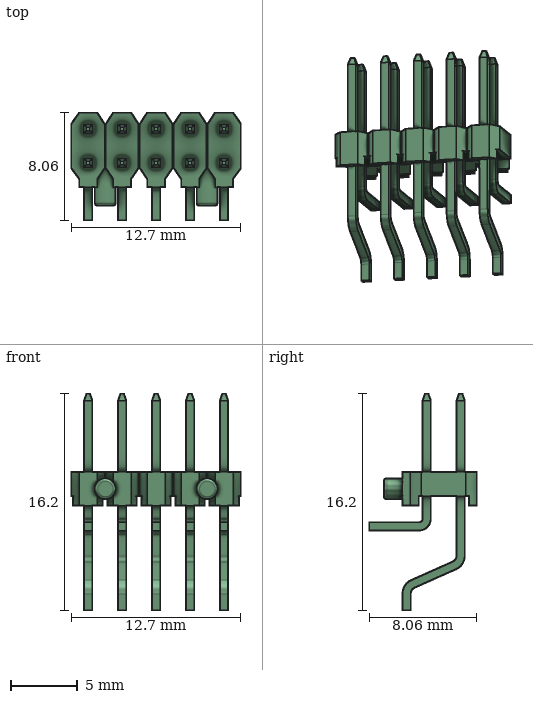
import cadquery as cq
import math


overall_length = 12.7
columns = 5
pitch = overall_length / columns

body_depth = 5.58
body_height = 2.51
end_face_width = 1.35
front_neck_length = 0.6
front_bevel_length = 0.81
back_bevel_length = 0.85
channel_height = 0.71
channel_front = 1.23
channel_back = 4.96
joint_width = 0.1
groove_depth = 0.06

peg_diameter = 1.57
peg_projection = 1.4
peg_edge_radius = 0.21
peg_places = (-1.5 * pitch, 1.5 * pitch)

lead_width = 0.63
tip_width = 0.26
tip_length = 0.53
lead_top = 8.38
front_row = 1.82
back_row = front_row + pitch

front_tail_end = -2.48
front_tail_height = -1.55
front_bend_radius = 0.58

back_foot = lead_width / 2
back_foot_end = -7.83
back_upper_bend = -4.26
back_lower_bend = -6.06
back_bend_radius = 0.81

column_places = [(column - (columns - 1) / 2) * pitch for column in range(columns)]
front_bevel_end = front_neck_length + front_bevel_length
back_bevel_start = body_depth - back_bevel_length


def body_segment(column):
    """Eight-sided block with a front neck; it is full width only on the ends of the part."""
    joint_half = pitch / 2 - joint_width / 2
    left = pitch / 2 if column == 0 else joint_half
    right = pitch / 2 if column == columns - 1 else joint_half
    narrow = end_face_width / 2
    outline = [
        (narrow, 0),
        (narrow, front_neck_length),
        (right, front_bevel_end),
        (right, back_bevel_start),
        (narrow, body_depth),
        (-narrow, body_depth),
        (-left, back_bevel_start),
        (-left, front_bevel_end),
        (-narrow, front_neck_length),
        (-narrow, 0),
    ]
    segment = cq.Workplane("XY").polyline(outline).close().extrude(body_height)
    return segment.translate((column_places[column], 0, 0))


def joint_web(x):
    """Thin web joining two segments, with a shallow V-groove along its top."""
    half = joint_width / 2
    profile = [
        (-half, 0),
        (half, 0),
        (half, body_height),
        (0, body_height - groove_depth),
        (-half, body_height),
    ]
    length = back_bevel_start - front_bevel_end
    web = cq.Workplane("XZ").polyline(profile).close().extrude(-length)
    return web.translate((x, front_bevel_end, 0))


def locating_peg(x):
    """Round peg along Y with a rounded front edge, rooted where the bevels meet."""
    peg = cq.Workplane("XZ").circle(peg_diameter / 2).extrude(peg_projection + front_bevel_end)
    peg = peg.faces("<Y").edges().fillet(peg_edge_radius)
    return peg.translate((x, front_bevel_end, body_height / 2))


def bent_lead(corners, bend_radius):
    """Square lead swept along (y, z) corners with rounded bends, tapered at its top end."""
    points = [cq.Vector(0, y, z) for y, z in corners]
    path = cq.Workplane("YZ").moveTo(points[0].y, points[0].z)
    for before, corner, after in zip(points, points[1:], points[2:]):
        arrive = (corner - before).normalized()
        leave = (after - corner).normalized()
        setback = bend_radius * math.tan(arrive.getAngle(leave) / 2)
        arc_start = corner - arrive * setback
        arc_end = corner + leave * setback
        path = path.lineTo(arc_start.y, arc_start.z)
        path = path.tangentArcPoint((arc_end.y, arc_end.z), relative=False)
    path = path.lineTo(points[-1].y, points[-1].z)

    shank_end = cq.Workplane("XY", origin=points[0])
    shank = shank_end.rect(lead_width, lead_width).sweep(path)
    tip_taper = math.degrees(math.atan((lead_width - tip_width) / 2 / tip_length))
    tip = shank_end.rect(lead_width, lead_width).extrude(tip_length, taper=tip_taper)
    return shank.union(tip)


body = body_segment(0)
for column in range(1, columns):
    body = body.union(body_segment(column))
    body = body.union(joint_web(column_places[column] - pitch / 2))
for peg_place in peg_places:
    body = body.union(locating_peg(peg_place))
channel = cq.Workplane("XY").box(
    overall_length, channel_back - channel_front, channel_height, centered=(True, False, False)
)
body = body.cut(channel.translate((0, channel_front, 0)))

shank_top = lead_top - tip_length
front_lead = bent_lead(
    [(front_row, shank_top), (front_row, front_tail_height), (front_tail_end, front_tail_height)],
    front_bend_radius,
)
back_lead = bent_lead(
    [
        (back_row, shank_top),
        (back_row, back_upper_bend),
        (back_foot, back_lower_bend),
        (back_foot, back_foot_end),
    ],
    back_bend_radius,
)

result = body
for x in column_places:
    result = result.union(front_lead.translate((x, 0, 0)))
    result = result.union(back_lead.translate((x, 0, 0)))